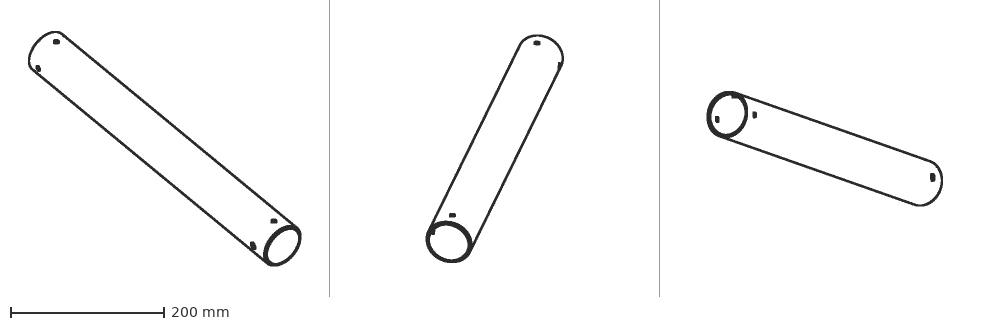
import cadquery as cq

length = 500.0
outer_diameter = 60.5
wall = 3.5
end_chamfer = 1.5

pin_hole_diameter = 6.5
pin_hole_inset = 19.5
large_hole_diameter = 9.0
large_hole_inset = 25.0

outer_radius = outer_diameter / 2
inner_radius = outer_radius - wall
left_end = -length / 2
right_end = length / 2


def make_tube():
    """Round tube chamfered outside at +X and inside at -X."""
    rod = cq.Workplane("YZ", origin=(left_end, 0, 0)).circle(outer_radius).extrude(length)
    rod = rod.faces(">X").chamfer(end_chamfer)
    bore = cq.Workplane("YZ", origin=(left_end, 0, 0)).circle(inner_radius).extrude(length)
    tube = rod.cut(bore)
    return tube.faces("<X").edges(cq.selectors.RadiusNthSelector(0)).chamfer(end_chamfer)


def wall_drill(x, diameter, direction):
    """Cylinder from the tube axis outward, piercing one wall only."""
    drill = cq.Solid.makeCylinder(
        diameter / 2, outer_diameter, cq.Vector(x, 0, 0), cq.Vector(*direction)
    )
    return cq.Workplane(drill)


front = (0, -1, 0)
back = (0, 1, 0)
top = (0, 0, 1)

left_pin_x = left_end + pin_hole_inset
right_pin_x = right_end - pin_hole_inset
large_hole_x = right_end - large_hole_inset

holes = [
    (left_pin_x, pin_hole_diameter, front),
    (left_pin_x, pin_hole_diameter, back),
    (left_pin_x, pin_hole_diameter, top),
    (right_pin_x, pin_hole_diameter, top),
    (large_hole_x, large_hole_diameter, front),
]

result = make_tube()
for x, diameter, direction in holes:
    result = result.cut(wall_drill(x, diameter, direction))